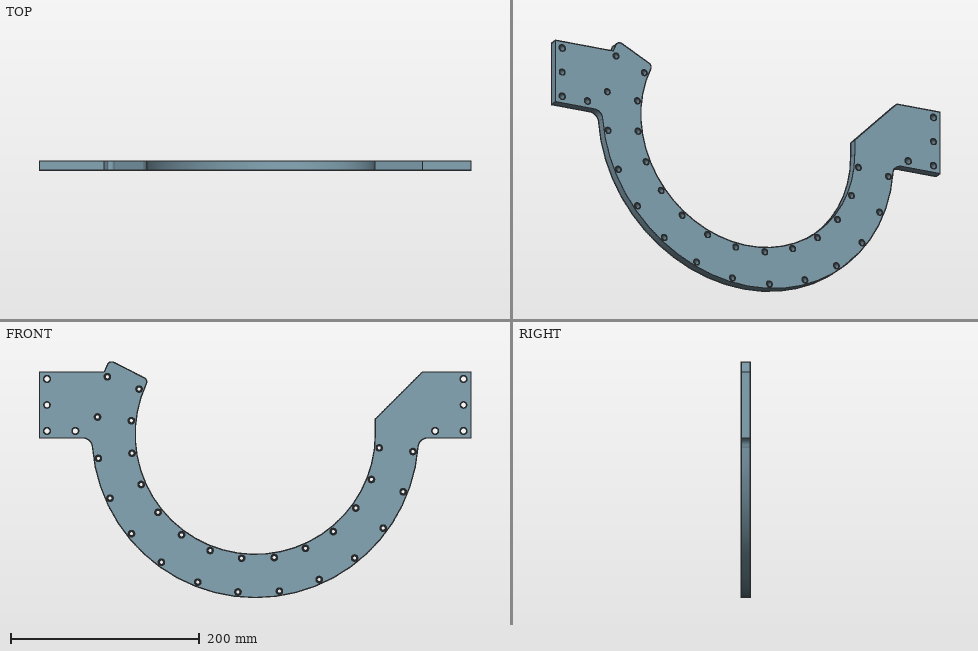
import math

import cadquery as cq


thickness = 10.0
overall_length = 457.0

ring_mid_radius = 150.0
ring_width = 46.0
inner_radius = ring_mid_radius - ring_width / 2
outer_radius = ring_mid_radius + ring_width / 2
head_end_angle = 153.0
head_corner_radius = 5.0

tab_height = 70.0
tab_bottom = -4.0
tab_top = tab_bottom + tab_height
tab_end = overall_length / 2
tab_chamfer = 50.0
tab_root_radius = 10.0

hole_chamfer = 0.5
mount_hole_diameter = 6.5
dowel_hole_diameter = 6.0
mount_hole_end_inset = 8.0
mount_hole_bottom_inset = 7.5
mount_hole_pitch_z = 27.5
mount_hole_pitch_x = 30.0

ring_hole_diameter = 4.5
ring_counterbore_diameter = 6.0
ring_counterbore_depth = 8.0
ring_hole_edge_distance = 5.0
ring_hole_count = 14
ring_hole_pitch_angle = 15.0
ring_hole_start_angle = 158.75


def polar(radius, angle):
    """Profile point at a radius and an angle in degrees from +X."""
    return (radius * math.cos(math.radians(angle)), radius * math.sin(math.radians(angle)))


def extrude_profile(sketch):
    """Extrude a closed XZ profile to the plate thickness, front face at Y = 0."""
    return sketch.extrude(-thickness)


def make_ring():
    """Ring from the rounded head, around the bottom, to the right-hand side."""
    middle_angle = (head_end_angle + 360.0) / 2
    ring = extrude_profile(
        cq.Workplane("XZ")
        .moveTo(*polar(outer_radius, head_end_angle))
        .threePointArc(polar(outer_radius, middle_angle), (outer_radius, 0))
        .lineTo(inner_radius, 0)
        .threePointArc(polar(inner_radius, middle_angle), polar(inner_radius, head_end_angle))
        .close()
    )
    for radius in (inner_radius, outer_radius):
        x, z = polar(radius, head_end_angle)
        corner = cq.selectors.NearestToPointSelector((x, thickness / 2, z))
        ring = ring.edges("|Y").edges(corner).fillet(head_corner_radius)
    return ring


def make_left_tab():
    """Rectangular tab that runs into the middle of the ring."""
    return extrude_profile(
        cq.Workplane("XZ")
        .moveTo(-tab_end, tab_bottom)
        .lineTo(-ring_mid_radius, tab_bottom)
        .lineTo(-ring_mid_radius, tab_top)
        .lineTo(-tab_end, tab_top)
        .close()
    )


def make_right_tab():
    """Tab that closes the ring end, with a large chamfer towards the bore."""
    return extrude_profile(
        cq.Workplane("XZ")
        .moveTo(tab_end, tab_bottom)
        .lineTo(ring_mid_radius, tab_bottom)
        .lineTo(ring_mid_radius, 0)
        .lineTo(inner_radius, 0)
        .lineTo(inner_radius, tab_top - tab_chamfer)
        .lineTo(inner_radius + tab_chamfer, tab_top)
        .lineTo(tab_end, tab_top)
        .close()
    )


def round_tab_roots(body):
    """Fillet the inside corners where the tab undersides meet the ring."""
    root_x = math.sqrt(outer_radius**2 - tab_bottom**2)
    for side in (-1, 1):
        root = cq.selectors.NearestToPointSelector((side * root_x, thickness / 2, tab_bottom))
        body = body.edges("|Y").edges(root).fillet(tab_root_radius)
    return body


def mount_hole_points():
    """Screw holes: the top and bottom of each end column, and the inboard hole."""
    end_x = tab_end - mount_hole_end_inset
    bottom_z = tab_bottom + mount_hole_bottom_inset
    points = []
    for side in (-1, 1):
        points.append((side * end_x, bottom_z))
        points.append((side * end_x, bottom_z + 2 * mount_hole_pitch_z))
        points.append((side * (end_x - mount_hole_pitch_x), bottom_z))
    return points


def dowel_hole_points():
    """One dowel hole at the middle of each end column."""
    x = tab_end - mount_hole_end_inset
    z = tab_bottom + mount_hole_bottom_inset + mount_hole_pitch_z
    return [(-x, z), (x, z)]


def ring_hole_points():
    """Two concentric rows of holes, one near each edge of the ring."""
    points = []
    for radius in (inner_radius + ring_hole_edge_distance, outer_radius - ring_hole_edge_distance):
        for index in range(ring_hole_count):
            angle = ring_hole_start_angle + index * ring_hole_pitch_angle
            points.append(polar(radius, angle))
    return points


def cut_holes(body, points, diameter, depth):
    """Cut plain holes of the given depth from the front face."""
    return body.cut(cq.Workplane("XZ").pushPoints(points).circle(diameter / 2).extrude(-depth))


def cut_chamfered_holes(body, points, diameter, depth):
    """Cut holes from the front face and chamfer their front rims."""
    body = cut_holes(body, points, diameter, depth)
    inward = cq.Vector(0, 1, 0)
    for x, z in points:
        rim_radius = diameter / 2 + hole_chamfer
        cone = cq.Solid.makeCone(rim_radius, diameter / 2, hole_chamfer, cq.Vector(x, 0, z), inward)
        body = body.cut(cq.Workplane(obj=cone))
    return body


body = make_ring().union(make_left_tab()).union(make_right_tab())
body = round_tab_roots(body)
body = cut_chamfered_holes(body, mount_hole_points(), mount_hole_diameter, thickness)
body = cut_chamfered_holes(body, dowel_hole_points(), dowel_hole_diameter, thickness)
body = cut_holes(body, ring_hole_points(), ring_hole_diameter, thickness)
body = cut_chamfered_holes(body, ring_hole_points(), ring_counterbore_diameter, ring_counterbore_depth)

result = body